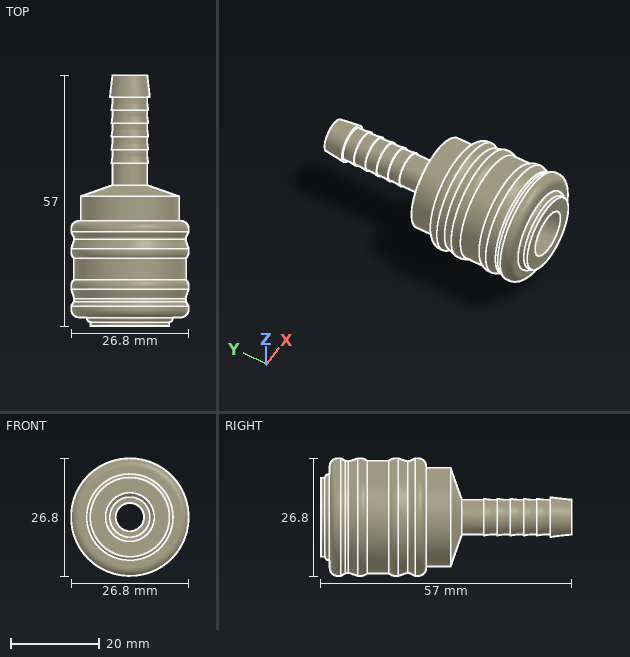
import cadquery as cq
import math

total_length = 57.0

bead_radius = 13.4
waist_radius = 12.8
groove_radius = 12.7
groove_edge_radius = 12.8
rim_round = 1.9
sleeve_start = 1.95
sleeve_end = 23.95
crest_width = 0.7
front_crest = sleeve_start + rim_round
front_groove_start = 5.55
front_groove_middle = 6.2
front_groove_end = 6.7
waist_start = 10.5
waist_end = 15.45
bead_shoulder = 1.4
rear_groove_start = 19.2
rear_groove_middle = 19.7
rear_groove_end = 20.3
rear_crest_end = sleeve_end - rim_round

collar_radius = 9.0
collar_length = 0.9
collar_outer_radius = 9.8
collar_round_end = 1.75

body_radius = 11.25
body_end = 29.45
cone_end = 32.05
stem_radius = 4.0

barb_radius = 4.2
barb_count = 5
barb_pitch = 3.0
barb_length = barb_pitch / 2
first_barb = 37.0
head_radius = 4.55
head_start = 52.05

socket_radius = 5.55
socket_depth = 25.65
socket_floor_radius = 4.55
hose_bore_radius = 3.2


def shoulder_middle(r_inner, r_outer, y_inner, y_outer):
    """Middle point of the arc that leaves the crest along Y and ends at the inner point."""
    drop = r_outer - r_inner
    run = y_inner - y_outer
    arc_radius = (drop**2 + run**2) / (2 * drop)
    half_angle = math.atan2(run, arc_radius - drop) / 2
    centre_radius = r_outer - arc_radius
    return (
        centre_radius + arc_radius * math.cos(half_angle),
        y_outer + arc_radius * math.sin(half_angle),
    )


def make_sleeve():
    rim_radius = bead_radius - rim_round
    front_bead_end = waist_start - bead_shoulder
    rear_bead_start = waist_end + bead_shoulder
    profile = (
        cq.Workplane("XY")
        .moveTo(0, sleeve_start)
        .lineTo(rim_radius, sleeve_start)
        .threePointArc(
            shoulder_middle(rim_radius, bead_radius, sleeve_start, front_crest),
            (bead_radius, front_crest),
        )
        .lineTo(bead_radius, front_crest + crest_width)
        .lineTo(groove_edge_radius, front_groove_start)
        .lineTo(groove_radius, front_groove_middle)
        .lineTo(groove_edge_radius, front_groove_end)
        .lineTo(bead_radius, front_bead_end - crest_width)
        .lineTo(bead_radius, front_bead_end)
        .threePointArc(
            shoulder_middle(waist_radius, bead_radius, waist_start, front_bead_end),
            (waist_radius, waist_start),
        )
        .lineTo(waist_radius, waist_end)
        .threePointArc(
            shoulder_middle(waist_radius, bead_radius, waist_end, rear_bead_start),
            (bead_radius, rear_bead_start),
        )
        .lineTo(bead_radius, rear_bead_start + crest_width)
        .lineTo(groove_edge_radius, rear_groove_start)
        .lineTo(groove_radius, rear_groove_middle)
        .lineTo(groove_edge_radius, rear_groove_end)
        .lineTo(bead_radius, rear_crest_end - crest_width)
        .lineTo(bead_radius, rear_crest_end)
        .threePointArc(
            shoulder_middle(rim_radius, bead_radius, sleeve_end, rear_crest_end),
            (rim_radius, sleeve_end),
        )
        .lineTo(0, sleeve_end)
        .close()
    )
    return spin(profile)


def spin(profile):
    return profile.revolve(360, (0, 0, 0), (0, 1, 0))


def make_core():
    """Mouth collar, rear body, cone and barbed stem in one outline."""
    profile = (
        cq.Workplane("XY")
        .lineTo(collar_radius, 0)
        .lineTo(collar_radius, collar_length)
        .threePointArc(
            shoulder_middle(collar_radius, collar_outer_radius, collar_length, collar_round_end),
            (collar_outer_radius, collar_round_end),
        )
        .lineTo(collar_outer_radius, sleeve_start)
        .lineTo(body_radius, sleeve_start)
        .lineTo(body_radius, body_end)
        .lineTo(stem_radius, cone_end)
    )
    for i in range(barb_count):
        barb_start = first_barb + i * barb_pitch
        profile = (
            profile.lineTo(stem_radius, barb_start)
            .lineTo(barb_radius, barb_start)
            .lineTo(stem_radius, barb_start + barb_length)
        )
    profile = (
        profile.lineTo(stem_radius, head_start)
        .lineTo(head_radius, head_start)
        .lineTo(stem_radius, total_length)
        .lineTo(0, total_length)
        .close()
    )
    return spin(profile)


def make_bore():
    """Plug socket with a tapered floor, leading into the hose bore."""
    taper_end = socket_depth + socket_radius - socket_floor_radius
    outline = [
        (0, 0),
        (socket_radius, 0),
        (socket_radius, socket_depth),
        (socket_floor_radius, taper_end),
        (hose_bore_radius, taper_end),
        (hose_bore_radius, total_length),
        (0, total_length),
    ]
    return spin(cq.Workplane("XY").polyline(outline).close())


result = make_core().union(make_sleeve()).cut(make_bore())